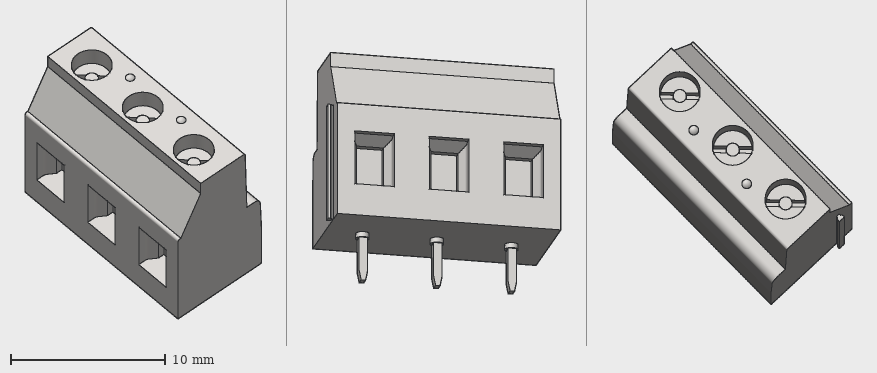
import cadquery as cq
import math


pole_count = 3
pitch = 4.95
body_length = pole_count * pitch
left_end = -body_length / 2
pole_positions = [(i - (pole_count - 1) / 2) * pitch for i in range(pole_count)]

body_depth = 7.28
body_height = 11.7
front_face_top = 7.66
front_round = 0.2
slope_foot_y = 0.25
slope_top_y = 1.98
slope_top_z = 10.72
rear_wall_top = 3.43
shelf_z = 6.38
shelf_rear_y = 7.16
shelf_inner_y = 6.0
shelf_round = 0.56
tower_rear_y = 5.86
tower_round = 0.18

pole_y = 3.6
well_diameter = 2.65
well_depth = 1.25
screw_diameter = 2.54
slot_width = 0.44
slot_depth = 0.8
slot_angle = 45
core_diameter = 0.86
core_rise = 0.02

entry_width = 2.65
entry_floor = 2.13
entry_height = 3.62
entry_side_straight = 0.56
entry_blend_radius = 0.42
entry_ceiling_straight = 0.45
throat_width = 1.8
throat_height = 3.05
throat_start = 1.33
entry_depth = 1.8

dome_diameter = 0.63
dome_height = 0.17
dome_y = 4.72

rib_reach = 0.38
rib_head_thickness = 0.17
rib_neck_length = 0.1
rib_head_width = 0.46
rib_neck_width = 0.24
rib_y = 1.28
rib_height = 7.81

collar_diameter = 0.88
collar_height = 0.34
pin_width = 0.57
pin_thickness = 0.61
pin_length = 3.27
pin_tip_width = 0.3
pin_tip_length = 0.65


def make_housing():
    """Stepped section carried along the full row of poles, with its two rear edges rounded."""
    section = (
        cq.Workplane("YZ", origin=(left_end, 0, 0))
        .moveTo(0, 0)
        .lineTo(0, front_face_top - front_round)
        .radiusArc((front_round, front_face_top), front_round)
        .lineTo(slope_foot_y, front_face_top)
        .lineTo(slope_top_y, slope_top_z)
        .lineTo(slope_top_y, body_height)
        .lineTo(tower_rear_y, body_height)
        .lineTo(shelf_inner_y, shelf_z)
        .lineTo(shelf_rear_y, shelf_z)
        .lineTo(body_depth, rear_wall_top)
        .lineTo(body_depth, 0)
        .close()
    )
    housing = section.extrude(body_length)
    rounded_edges = (
        (tower_rear_y, body_height, tower_round),
        (shelf_rear_y, shelf_z, shelf_round),
    )
    for edge_y, edge_z, radius in rounded_edges:
        edge = cq.selectors.NearestToPointSelector((0, edge_y, edge_z))
        housing = housing.edges(edge).fillet(radius)
    return housing


def make_screw_well(x):
    """Cavity left above and around a slotted screw head."""
    head_z = body_height - well_depth
    cavity_floor = head_z - slot_depth
    cavity = (
        cq.Workplane("XY", origin=(x, pole_y, cavity_floor))
        .circle(well_diameter / 2)
        .extrude(body_height - cavity_floor)
    )
    head = (
        cq.Workplane("XY", origin=(x, pole_y, cavity_floor))
        .circle(screw_diameter / 2)
        .extrude(slot_depth)
    )
    slot = (
        cq.Workplane("XY", origin=(x, pole_y, cavity_floor))
        .transformed(rotate=(0, 0, slot_angle))
        .rect(well_diameter, slot_width)
        .extrude(slot_depth)
    )
    core = (
        cq.Workplane("XY", origin=(x, pole_y, cavity_floor))
        .circle(core_diameter / 2)
        .extrude(slot_depth + core_rise)
    )
    return cavity.cut(head.cut(slot).union(core))


def make_wire_entry(x):
    """Funnel with a flat floor: the sides and ceiling close in to a narrower blind throat."""
    mouth = entry_width / 2
    throat = throat_width / 2
    centre_x = mouth - entry_blend_radius
    run_x = throat - centre_x
    run_y = throat_start - entry_side_straight
    taper_angle = math.atan2(run_y, run_x) - math.acos(entry_blend_radius / math.hypot(run_x, run_y))

    def blend_point(angle):
        return (
            centre_x + entry_blend_radius * math.cos(angle),
            entry_side_straight + entry_blend_radius * math.sin(angle),
        )

    half_plan = (
        cq.Workplane("XY", origin=(x, 0, entry_floor))
        .lineTo(mouth, 0)
        .lineTo(mouth, entry_side_straight)
        .threePointArc(blend_point(taper_angle / 2), blend_point(taper_angle))
        .lineTo(throat, throat_start)
        .lineTo(throat, entry_depth)
        .lineTo(0, entry_depth)
        .close()
        .extrude(entry_height)
    )
    plan = half_plan.union(half_plan.mirror("YZ", (x, 0, 0)))
    side = (
        cq.Workplane("YZ", origin=(x, 0, entry_floor))
        .lineTo(0, entry_height)
        .lineTo(entry_ceiling_straight, entry_height)
        .lineTo(throat_start, throat_height)
        .lineTo(entry_depth, throat_height)
        .lineTo(entry_depth, 0)
        .close()
        .extrude(mouth, both=True)
    )
    return plan.intersect(side)


def make_dome(x):
    """Low spherical cap standing on the top face."""
    dome_radius = dome_diameter / 2
    sphere_radius = (dome_radius**2 + dome_height**2) / (2 * dome_height)
    sphere_z = body_height + dome_height - sphere_radius
    sphere = cq.Workplane("XY", origin=(x, dome_y, sphere_z)).sphere(sphere_radius)
    keep = (
        cq.Workplane("XY", origin=(x, dome_y, body_height - dome_height))
        .circle(dome_radius)
        .extrude(2 * dome_height)
    )
    return sphere.intersect(keep)


def make_joining_rib():
    """Dovetail rib: a flat head tapering to a short neck on the left end."""
    head_x = left_end - rib_reach
    taper_x = head_x + rib_head_thickness
    neck_x = left_end - rib_neck_length
    half_outline = [
        (head_x, rib_head_width / 2),
        (taper_x, rib_head_width / 2),
        (neck_x, rib_neck_width / 2),
        (left_end, rib_neck_width / 2),
    ]
    mirrored = [(x, -y) for x, y in reversed(half_outline)]
    return (
        cq.Workplane("XY", origin=(0, rib_y, 0))
        .polyline(half_outline + mirrored)
        .close()
        .extrude(rib_height)
    )


def make_pin(x):
    """Round collar under the housing with a flat pin that tapers across its width at the tip."""
    collar = (
        cq.Workplane("XY", origin=(x, pole_y, -collar_height))
        .circle(collar_diameter / 2)
        .extrude(collar_height)
    )
    tip_top = -pin_length + pin_tip_length
    pin = (
        cq.Workplane("XZ", origin=(x, pole_y, 0))
        .moveTo(-pin_width / 2, 0)
        .lineTo(-pin_width / 2, tip_top)
        .lineTo(-pin_tip_width / 2, -pin_length)
        .lineTo(pin_tip_width / 2, -pin_length)
        .lineTo(pin_width / 2, tip_top)
        .lineTo(pin_width / 2, 0)
        .close()
        .extrude(pin_thickness / 2, both=True)
    )
    return collar.union(pin)


result = make_housing().union(make_joining_rib())

for pole_x in pole_positions:
    result = result.cut(make_screw_well(pole_x))
    result = result.cut(make_wire_entry(pole_x))
    result = result.union(make_pin(pole_x))

for pole_x in pole_positions[:-1]:
    result = result.union(make_dome(pole_x + pitch / 2))